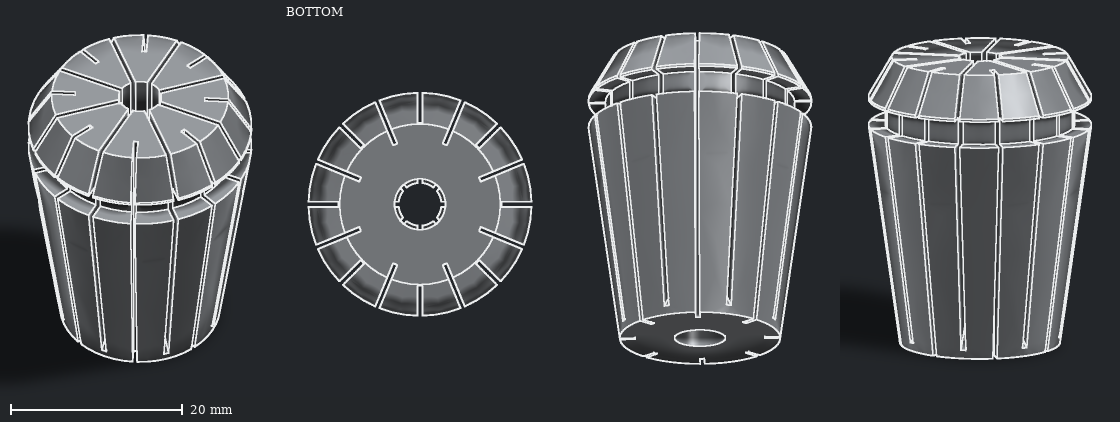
import cadquery as cq
import math

length = 34.0
rim_radius = 13.0
taper_angle = 8.0
nose_angle = 30.0

groove_bottom = 25.9
groove_top = 29.0
rim_top = 29.3
groove_radius = 11.0

bore_radius = 2.48
relief_radius = 2.95
relief_depth = 17.0

slots_per_set = 8
slot_pitch = 360.0 / slots_per_set
long_slot_width = 0.58
long_slot_start = 10.27
long_slot_end = 1.02
long_slot_floor_curve = 34.0
short_slot_width = 0.5
short_slot_floor = 7.55

overshoot = 0.35
slot_reach = rim_radius + overshoot
slot_top = length + overshoot


def taper_radius(height):
    """Radius of the clamping taper at a given height."""
    return rim_radius - (groove_bottom - height) * math.tan(math.radians(taper_angle))


def make_body():
    nose_radius = rim_radius - (length - rim_top) * math.tan(math.radians(nose_angle))
    outline = [
        (0, 0),
        (taper_radius(0), 0),
        (rim_radius, groove_bottom),
        (groove_radius, groove_bottom),
        (groove_radius, groove_top),
        (rim_radius, groove_top),
        (rim_radius, rim_top),
        (nose_radius, length),
        (0, length),
    ]
    return cq.Workplane("XZ").polyline(outline).close().revolve(360, (0, 0), (0, 1))


def make_bore():
    bore = cq.Workplane("XY").circle(bore_radius).extrude(length)
    relief = cq.Workplane("XY").circle(relief_radius).extrude(relief_depth)
    return bore.union(relief)


def make_long_slot():
    """Slot open at the nose, with a concave floor running out through the taper."""
    return (
        cq.Workplane("XZ")
        .moveTo(0, slot_top)
        .lineTo(0, long_slot_start)
        .lineTo(relief_radius, long_slot_start)
        .radiusArc((taper_radius(long_slot_end), long_slot_end), -long_slot_floor_curve)
        .lineTo(slot_reach, long_slot_end)
        .lineTo(slot_reach, slot_top)
        .close()
        .extrude(long_slot_width / 2, both=True)
    )


def make_short_slot():
    """Straight slot along the whole length that stops short of the bore."""
    return (
        cq.Workplane("XY")
        .moveTo((short_slot_floor + slot_reach) / 2, 0)
        .rect(slot_reach - short_slot_floor, short_slot_width)
        .extrude(length)
    )


result = make_body().cut(make_bore())
long_slot = make_long_slot()
short_slot = make_short_slot().rotate((0, 0, 0), (0, 0, 1), slot_pitch / 2)
for index in range(slots_per_set):
    for slot in (long_slot, short_slot):
        result = result.cut(slot.rotate((0, 0, 0), (0, 0, 1), index * slot_pitch))